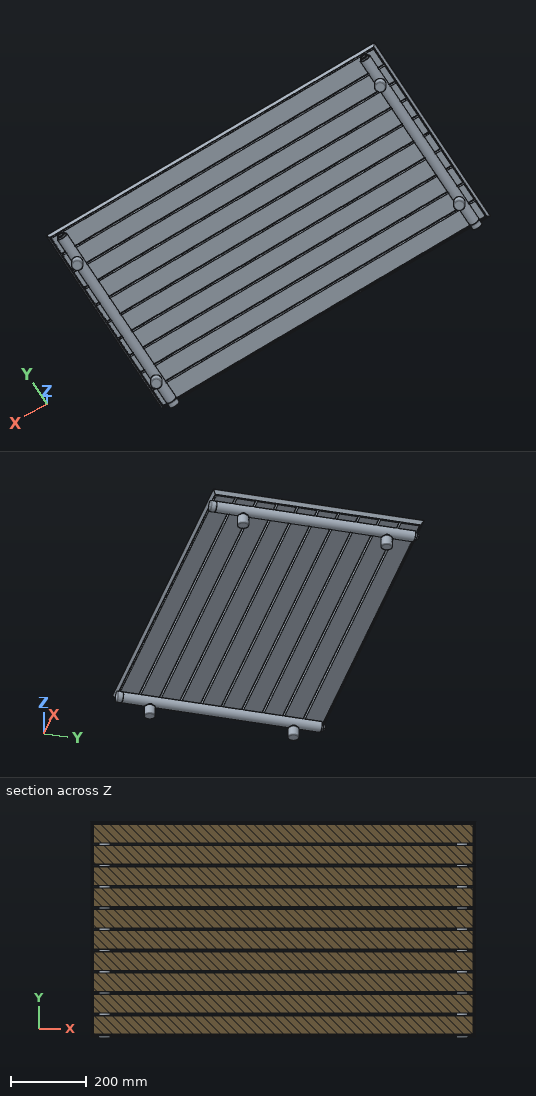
import cadquery as cq
import math


overall_x = 1021.79
overall_y = 575.79
overall_z = 75.5

sheet_thickness = 1.0
edge_radius = 1.5
flange_lean = 34.0
cover_depth = 12.0

tube_count = 10
tube_pitch = 56.0
tube_gap = 6.0
tube_width = tube_pitch - tube_gap
tube_length = 1002.0
tube_thickness = 12.8

header_radius = 15.0
header_length = 542.0
header_spacing = 942.0
weld_depth = 0.3
header_z = -(sheet_thickness + tube_thickness - weld_depth + header_radius)

cap_radius = header_radius
cap_rounding = 2.0
end_cap_length = 16.0
connection_length = 29.0
connection_spacing = 392.0
neck_radius = 9.0

plug_radius = 12.0
plug_length = 6.0
plug_chamfer = 1.5
vent_radius = 7.0
vent_length = 7.0
vent_chamfer = 2.5


def tapered_block(length, width, top_z):
    """Block with leaning sides that narrows from the given size at Z = top_z to the cover's rim."""
    return (
        cq.Workplane("XY", origin=(0, 0, top_z))
        .rect(length, width)
        .extrude(-(cover_depth + top_z), taper=flange_lean)
    )


def make_cover():
    """Shallow tray, open below, with a rounded edge all round its front face."""
    lean = math.radians(flange_lean)
    corner_trim = edge_radius * (math.tan((math.pi / 2 + lean) / 2) - 1)
    wall_inset = sheet_thickness * (math.tan(lean) + 1 / math.cos(lean))
    length = overall_x + 2 * corner_trim
    width = overall_y + 2 * corner_trim
    body = tapered_block(length, width, 0).faces(">Z").edges().fillet(edge_radius)
    cavity = tapered_block(length - 2 * wall_inset, width - 2 * wall_inset, -sheet_thickness)
    return body.cut(cavity)


def cylinder(plane, origin, radius, length):
    return cq.Workplane(plane, origin=origin).circle(radius).extrude(length)


def make_connection(x, y):
    """Rounded cap standing below the header on a narrower neck."""
    cap = cylinder("XY", (x, y, -overall_z), cap_radius, connection_length).edges().fillet(cap_rounding)
    neck = cylinder("XY", (x, y, -overall_z), neck_radius, overall_z + header_z)
    return cap.union(neck)


def make_end_cap(x):
    return (
        cylinder("XZ", (x, -header_length / 2, header_z), cap_radius, end_cap_length)
        .edges()
        .fillet(cap_rounding)
    )


def make_vent_plug(x):
    plug_y = header_length / 2
    vent_y = plug_y + plug_length
    plug = cylinder("XZ", (x, plug_y, header_z), plug_radius, -plug_length).faces(">Y").chamfer(plug_chamfer)
    vent = cylinder("XZ", (x, vent_y, header_z), vent_radius, -vent_length).faces(">Y").chamfer(vent_chamfer)
    return plug.union(vent)


def make_header(x):
    header = cylinder("XZ", (x, header_length / 2, header_z), header_radius, header_length)
    header = header.union(make_end_cap(x)).union(make_vent_plug(x))
    for y in (-connection_spacing / 2, connection_spacing / 2):
        header = header.union(make_connection(x, y))
    return header


def make_harp():
    """Flat tubes and both headers, welded into one body."""
    tube_z = -(sheet_thickness + tube_thickness / 2)
    first_y = -(tube_count - 1) * tube_pitch / 2
    harp = make_header(-header_spacing / 2).union(make_header(header_spacing / 2))
    for index in range(tube_count):
        tube = cq.Workplane("XY").box(tube_length, tube_width, tube_thickness)
        harp = harp.union(tube.translate((0, first_y + index * tube_pitch, tube_z)))
    return harp


cover = make_cover()
harp = make_harp()

result = cq.Compound.makeCompound([cover.val(), harp.val()])